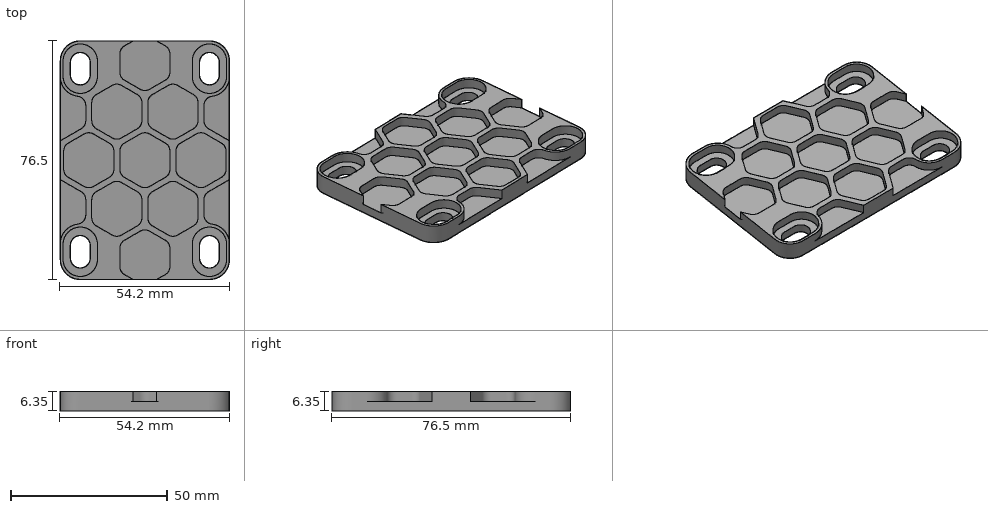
import cadquery as cq
import math

length = 76.5
width = 54.25
thickness = 6.35
corner_radius = 6.4

cell_flats = 16.1
cell_pitch = 18.0
cell_fillet = 3.0
pocket_depth = 3.2
row_pitch = cell_pitch * math.sin(math.radians(60))
half_flats = cell_flats / 2
cell_corner = cell_flats / math.sqrt(3)

rim_radius = corner_radius
rim_spacing = 5.0
bore_width = 11.0
bore_length = 15.8
bore_depth = 3.2
slot_width = 6.3
slot_length = 10.3
slot_x = width / 2 - rim_radius
slot_y = length / 2 - rim_radius - rim_spacing / 2

full_cells = [
    (0, 0),
    (-cell_pitch, 0),
    (cell_pitch, 0),
    (0, 2 * row_pitch),
    (0, -2 * row_pitch),
]
for side_x in (-1, 1):
    for side_y in (-1, 1):
        full_cells.append((side_x * cell_pitch / 2, side_y * row_pitch))
slot_centres = [(sx * slot_x, sy * slot_y) for sx in (-1, 1) for sy in (-1, 1)]


def hexagon_pocket(x, y):
    """One cell with rounded corners."""
    return (
        cq.Workplane("XY")
        .workplane(offset=thickness - pocket_depth)
        .transformed(offset=(x, y, 0), rotate=(0, 0, 90))
        .polygon(6, 2 * cell_corner)
        .extrude(pocket_depth)
        .edges("|Z")
        .fillet(cell_fillet)
    )


def side_pocket():
    """Half cell open at the +X side, its +Y end wrapped around the screw rim."""
    edge_x = width / 2
    flat_x = 1.5 * cell_pitch - half_flats
    rim_y = slot_y - rim_spacing / 2

    blend_x = flat_x + cell_fillet
    centre_distance = rim_radius + cell_fillet
    blend_y = rim_y - math.sqrt(centre_distance**2 - (blend_x - slot_x) ** 2)
    blend_angle = math.atan2(blend_y - rim_y, blend_x - slot_x)

    def on_rim(angle):
        return (slot_x + rim_radius * math.cos(angle), rim_y + rim_radius * math.sin(angle))

    def on_blend(angle):
        return (blend_x + cell_fillet * math.cos(angle), blend_y + cell_fillet * math.sin(angle))

    blend_start = blend_angle + math.pi
    blend_end = math.pi
    lower_corner_y = row_pitch - cell_corner / 2
    lower_edge_y = lower_corner_y - (edge_x - flat_x) * math.tan(math.radians(30))
    lower_corner = (flat_x, lower_corner_y, thickness - pocket_depth / 2)
    return (
        cq.Workplane("XY")
        .workplane(offset=thickness - pocket_depth)
        .moveTo(edge_x, rim_y)
        .threePointArc(on_rim(blend_angle / 2), on_rim(blend_angle))
        .threePointArc(on_blend((blend_start + blend_end) / 2), (flat_x, blend_y))
        .lineTo(flat_x, lower_corner_y)
        .lineTo(edge_x, lower_edge_y)
        .close()
        .extrude(pocket_depth)
        .edges(cq.selectors.NearestToPointSelector(lower_corner))
        .fillet(cell_fillet)
    )


plate = cq.Workplane("XY").box(width, length, thickness, centered=(True, True, False))
plate = plate.edges("|Z").fillet(corner_radius)

for x, y in full_cells:
    plate = plate.cut(hexagon_pocket(x, y))

right_pocket = side_pocket()
right_pair = right_pocket.union(right_pocket.mirror("XZ"))
plate = plate.cut(right_pair).cut(right_pair.mirror("YZ"))

slots = (
    cq.Workplane("XY")
    .pushPoints(slot_centres)
    .slot2D(slot_length, slot_width, 90)
    .extrude(thickness)
)
bores = (
    cq.Workplane("XY")
    .workplane(offset=thickness - bore_depth)
    .pushPoints(slot_centres)
    .slot2D(bore_length, bore_width, 90)
    .extrude(bore_depth)
)
result = plate.cut(slots).cut(bores)